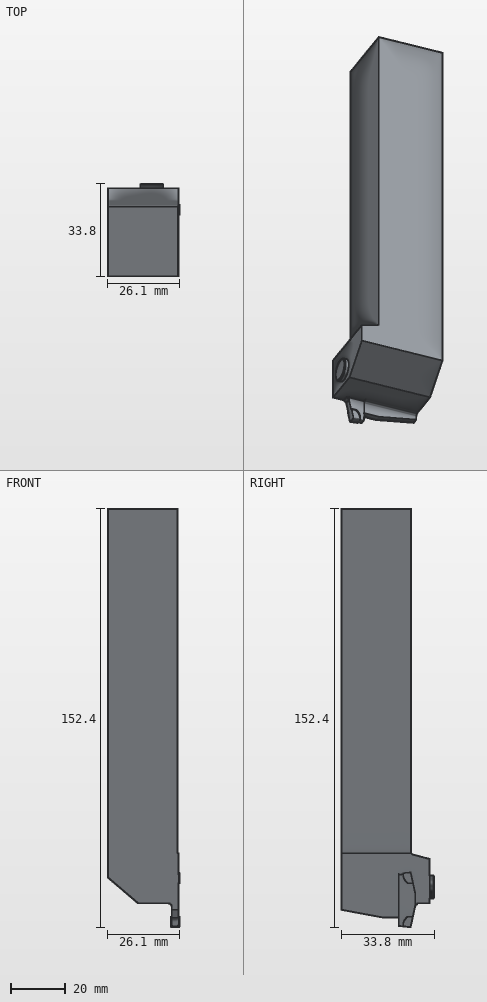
import math

import cadquery as cq


total_height = 152.4
total_depth = 33.8
total_width = 26.06
shank_size = 25.4

head_depth = 32.2
head_overhang = 0.32
head_width = shank_size + head_overhang
head_bottom = 8.7
overhang_top = 27.0
ledge_edge_height = 24.9
ledge_angle = 15.0
ledge_fillet = 0.9
corner_cut_width = 11.0
corner_cut_height = 9.4

blade_width = 2.5
blade_left = head_width - blade_width
blade_tip_height = 3.55
blade_front_height = 6.35
blade_flat_start = 15.0
blade_root_fillet = 1.4

screw_diameter = 8.5
screw_x = 15.95
screw_z = 14.7
screw_edge_chamfer = 0.4

insert_width = blade_width + 2 * (total_width - head_width)
insert_length = 20.0
insert_seat_y = 20.9
cutting_edge_y = 25.25
insert_back_y = 26.9
rake_height = 7.6
clearance_angle = 6.0
edge_head_height = 3.9
edge_head_top_y = 24.2
edge_head_low_y = 22.5
edge_head_relief_radius = 4.0
corner_radius = 0.4

clamp_lip_size = 0.95


def prism_along_x(outline, x_start, x_end):
    """Extrude a closed outline drawn in (Y, Z) from x_start to x_end."""
    return outline.extrude(x_end - x_start).translate((x_start, 0, 0))


def make_shank_and_head():
    ledge_rise = (head_depth - shank_size) * math.tan(math.radians(ledge_angle))
    side = (
        cq.Workplane("YZ")
        .moveTo(0, head_bottom)
        .lineTo(head_depth, head_bottom)
        .lineTo(head_depth, ledge_edge_height)
        .lineTo(shank_size, ledge_edge_height + ledge_rise)
        .lineTo(shank_size, total_height)
        .lineTo(0, total_height)
        .close()
    )
    body = prism_along_x(side, 0, head_width)
    ledge_corner = cq.selectors.NearestToPointSelector(
        (head_width / 2, shank_size, ledge_edge_height + ledge_rise)
    )
    body = body.edges(ledge_corner).fillet(ledge_fillet)

    above_overhang = cq.Workplane("XY").box(
        head_overhang, head_depth, total_height - overhang_top, centered=False
    ).translate((shank_size, 0, overhang_top))

    corner_cut = (
        cq.Workplane("XZ")
        .moveTo(0, head_bottom)
        .lineTo(corner_cut_width, head_bottom)
        .lineTo(0, head_bottom + corner_cut_height)
        .close()
        .extrude(-head_depth)
    )
    return body.cut(above_overhang).cut(corner_cut)


def make_blade():
    side = (
        cq.Workplane("YZ")
        .moveTo(0, head_bottom)
        .lineTo(0, blade_front_height)
        .lineTo(blade_flat_start, blade_tip_height)
        .lineTo(insert_seat_y, blade_tip_height)
        .lineTo(insert_seat_y, head_bottom)
        .close()
    )
    return prism_along_x(side, blade_left, head_width)


def make_blade_root():
    """Concave fillet between the blade and the underside of the head."""
    arc_centre = (blade_left - blade_root_fillet, head_bottom - blade_root_fillet)
    diagonal = blade_root_fillet * math.sqrt(0.5)
    return (
        cq.Workplane("XZ")
        .moveTo(blade_left, head_bottom)
        .lineTo(blade_left, arc_centre[1])
        .threePointArc(
            (arc_centre[0] + diagonal, arc_centre[1] + diagonal),
            (arc_centre[0], head_bottom),
        )
        .close()
        .extrude(-insert_seat_y)
    )


def make_clamp_lip():
    side = (
        cq.Workplane("YZ")
        .moveTo(insert_seat_y, head_bottom)
        .lineTo(insert_back_y + clamp_lip_size, head_bottom)
        .lineTo(insert_back_y, head_bottom - clamp_lip_size)
        .lineTo(insert_seat_y, head_bottom - clamp_lip_size)
        .close()
    )
    return prism_along_x(side, blade_left, head_width)


def make_screw_head():
    return (
        cq.Workplane("XZ", origin=(screw_x, head_depth, screw_z))
        .circle(screw_diameter / 2)
        .extrude(head_depth - total_depth)
        .faces(">Y")
        .chamfer(screw_edge_chamfer)
    )


def clearance_height(y):
    """Height of the sloping end face of the insert at a given Y."""
    return (cutting_edge_y - y) * math.tan(math.radians(clearance_angle))


def turn_end_for_end(shape):
    """Mirror a shape about the middle of the insert length."""
    return shape.mirror("XY", (0, 0, insert_length / 2))


def round_end_corners(shape):
    """Round the two long edges of the lower end face."""
    return shape.faces("<Z").edges("not |X").fillet(corner_radius)


def make_insert_core():
    seat_height = clearance_height(insert_seat_y)
    side = (
        cq.Workplane("YZ")
        .moveTo(cutting_edge_y, 0)
        .lineTo(insert_back_y, rake_height)
        .lineTo(insert_back_y, insert_length - rake_height)
        .lineTo(cutting_edge_y, insert_length)
        .lineTo(insert_seat_y, insert_length - seat_height)
        .lineTo(insert_seat_y, seat_height)
        .close()
    )
    core = prism_along_x(side, blade_left, head_width)
    rounded_lower = round_end_corners(core)
    return round_end_corners(turn_end_for_end(rounded_lower))


def make_edge_head():
    """Wider lower end of the insert that carries the cutting edge."""
    rake_slope = (insert_back_y - cutting_edge_y) / rake_height
    side = (
        cq.Workplane("YZ")
        .moveTo(cutting_edge_y, 0)
        .lineTo(cutting_edge_y + rake_slope * edge_head_height, edge_head_height)
        .lineTo(edge_head_top_y, edge_head_height)
        .radiusArc((edge_head_low_y, clearance_height(edge_head_low_y)), -edge_head_relief_radius)
        .close()
    )
    overhang = (insert_width - blade_width) / 2
    head = prism_along_x(side, blade_left - overhang, head_width + overhang)
    return round_end_corners(head)


def make_insert():
    lower_head = make_edge_head()
    upper_head = turn_end_for_end(lower_head)
    return make_insert_core().union(lower_head).union(upper_head)


def make_holder(insert):
    return (
        make_shank_and_head()
        .union(make_blade())
        .union(make_blade_root())
        .union(make_clamp_lip())
        .union(make_screw_head())
        .cut(insert)
    )


insert = make_insert()
holder = make_holder(insert)
result = cq.Compound.makeCompound([holder.val(), insert.val()])